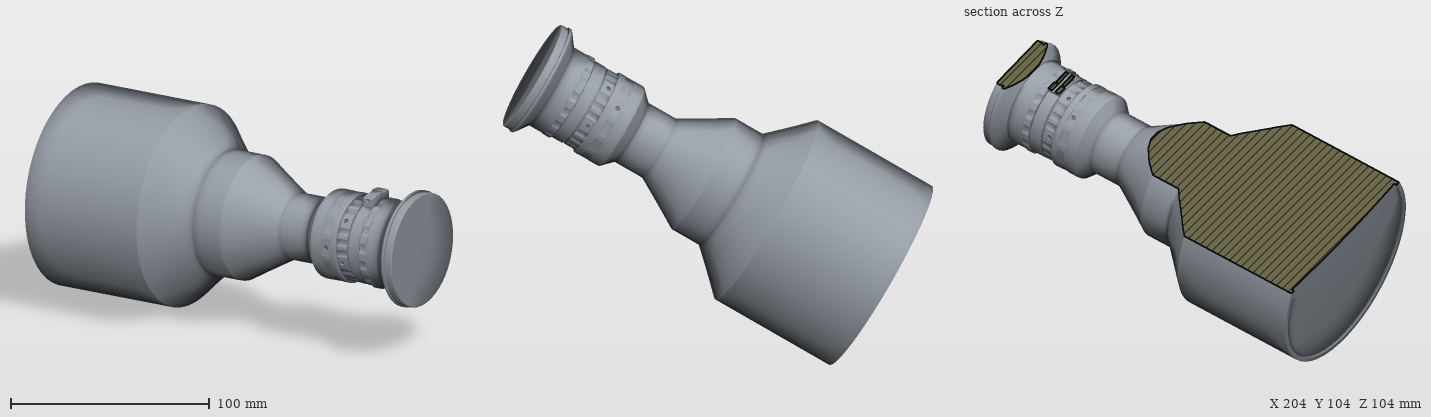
import cadquery as cq
import math


length = 204.0
barrel_radius = 52.0
barrel_end = 66.7
middle_radius = 32.2
middle_start = 87.5
middle_end = 103.6
neck_radius = 17.1
neck_start = 129.5
neck_end = 145.9
ring_radius = 23.0
shoulder_start = 151.5
shoulder_taper = 0.2
shoulder_taper_end = 153.0
knurl_radius = 21.8
clamp_radius = 22.0
tail_radius = 22.6
tail_end = 193.5
flange_cone_radius = 23.5
flange_radius = 30.0
flange_bevel = 1.0
flange_start = 198.5
flange_end = 199.7
flange_groove_radius = 29.0
flange_groove_end = 200.4
end_ring_radius = 29.4
edge_break = 0.5
cone_blend = 0.8

glass_radius = 49.8
glass_recess = 1.5
glass_sag = 1.2

parting_groove_start = 157.7
parting_groove_depth = 0.2
flats_start = 158.3
flats_end = 163.0
land_drop = 0.1
land_radius = ring_radius - land_drop
flat_count = 12
flat_half_angle = 11.7
flatted_ring_end = 166.5
set_screw_count = 3
set_screw_radius = 1.2
set_screw_depth = 1.2

knurl_end = 172.6
relief_radius = 21.0
pad_count = 6
pad_angle = 40.0
pad_hole_radius = 1.2
pad_hole_offset = 0.5
pad_hole_depth = 1.2
knurl_pitch = 15.0
knurl_half_angle = 5.0
knurl_cutter_radius = 3.3

clamp_start = 173.8
clamp_end = 180.2
clamp_groove_radius = 21.5
clamp_groove_end = 180.8
front_ear_length = 9.0
front_ear_radius = 26.5
front_ear_inset = 0.6
rear_ear_length = 5.5
rear_ear_radius = 27.3
rear_ear_chamfer = 0.6
slit_width = 0.5
slit_bottom = 20.0
clamp_screw_radius = 1.0
clamp_screw_height = 23.9

scalloped_ring_end = 184.5
scallop_count = 16
scallop_angle = 7.7
scallop_half_angle = 6.5
scallop_cutter_radius = 6.1


def circle_at(x):
    """Selects the circular edge lying in the plane at x."""
    return cq.selectors.BoxSelector(
        (x - edge_break, -length, -length), (x + edge_break, length, length), boundingbox=True
    )


def turned_body():
    profile = [
        (0, 0),
        (0, barrel_radius),
        (barrel_end, barrel_radius),
        (middle_start, middle_radius),
        (middle_end, middle_radius),
        (neck_start, neck_radius),
        (neck_end, neck_radius),
        (shoulder_start, ring_radius - shoulder_taper),
        (shoulder_taper_end, ring_radius),
        (parting_groove_start, ring_radius),
        (parting_groove_start, ring_radius - parting_groove_depth),
        (flats_start, ring_radius - parting_groove_depth),
        (flats_start, land_radius),
        (flats_end, land_radius),
        (flats_end, ring_radius),
        (flatted_ring_end - edge_break, ring_radius),
        (flatted_ring_end, ring_radius - edge_break),
        (flatted_ring_end, knurl_radius),
        (knurl_end, knurl_radius),
        (knurl_end, relief_radius),
        (clamp_start, relief_radius),
        (clamp_start, clamp_radius),
        (clamp_end, clamp_radius),
        (clamp_end, clamp_groove_radius),
        (clamp_groove_end, clamp_groove_radius),
        (clamp_groove_end, ring_radius),
        (scalloped_ring_end, ring_radius),
        (scalloped_ring_end, tail_radius),
        (tail_end, tail_radius),
        (tail_end, flange_cone_radius),
        (flange_start - flange_bevel, flange_radius - flange_bevel),
        (flange_start, flange_radius),
        (flange_end, flange_radius),
        (flange_end, flange_groove_radius),
        (flange_groove_end, flange_groove_radius),
        (flange_groove_end, end_ring_radius),
        (length - edge_break, end_ring_radius),
        (length, end_ring_radius - edge_break),
        (length, 0),
    ]
    body = cq.Workplane("XY").polyline(profile).close().revolve(360, (0, 0, 0), (1, 0, 0))
    for x in (barrel_end, middle_start, middle_end, neck_start, neck_end):
        body = body.edges(circle_at(x)).fillet(cone_blend)
    return body


def around_axis(tool, angle):
    """Turn a tool made on the -Y side to its angle around the axis."""
    return tool.rotate((0, 0, 0), (1, 0, 0), -angle)


def radial_hole(x, hole_radius, surface_radius, depth):
    """A round cutter that sinks to the given depth below the surface on the -Y side."""
    return (
        cq.Workplane("XZ", origin=(x, -(surface_radius - depth), 0))
        .circle(hole_radius)
        .extrude(2 * depth)
    )


def scallop_cutter(start, end, rim_radius, half_angle, cutter_radius):
    """A rod along X whose cut meets the rim at plus and minus half_angle."""
    half = math.radians(half_angle)
    half_chord = rim_radius * math.sin(half)
    rod_centre = rim_radius * math.cos(half) + math.sqrt(cutter_radius**2 - half_chord**2)
    return (
        cq.Workplane("YZ", origin=(start, 0, 0))
        .center(-rod_centre, 0)
        .circle(cutter_radius)
        .extrude(end - start)
    )


def cut_glass_recess(body):
    """The recess floor is the slightly domed face of the glass."""
    dome_radius = (glass_radius**2 + glass_sag**2) / (2 * glass_sag)
    recess = (
        cq.Workplane("XY")
        .moveTo(0, 0)
        .lineTo(0, glass_radius)
        .lineTo(glass_recess, glass_radius)
        .radiusArc((glass_recess - glass_sag, 0), -dome_radius)
        .close()
        .revolve(360, (0, 0, 0), (1, 0, 0))
    )
    return body.cut(recess)


def cut_flats(body):
    """Flats all round the ring, with set screw holes in the middle of evenly spaced ones."""
    flat_distance = land_radius * math.cos(math.radians(flat_half_angle))
    flat = cq.Workplane("XY").box(
        flats_end - flats_start, ring_radius, ring_radius, centered=(False, False, True)
    ).translate((flats_start, -flat_distance - ring_radius, 0))
    for i in range(flat_count):
        body = body.cut(around_axis(flat, i * 360 / flat_count))

    hole = radial_hole((flats_start + flats_end) / 2, set_screw_radius, flat_distance, set_screw_depth)
    for i in range(set_screw_count):
        body = body.cut(around_axis(hole, i * 360 / set_screw_count))
    return body


def cut_knurl(body):
    """Groups of scallops, with a plain drilled pad between one group and the next."""
    groove = scallop_cutter(
        flatted_ring_end, knurl_end, knurl_radius, knurl_half_angle, knurl_cutter_radius
    )
    hole_x = (flatted_ring_end + knurl_end) / 2 - pad_hole_offset
    hole = radial_hole(hole_x, pad_hole_radius, knurl_radius, pad_hole_depth)
    pad_pitch = 360 / pad_count
    grooves_per_group = round(pad_pitch / knurl_pitch) - 1
    for i in range(pad_count):
        pad = pad_angle + i * pad_pitch
        body = body.cut(around_axis(hole, pad))
        for j in range(1, grooves_per_group + 1):
            body = body.cut(around_axis(groove, pad + j * knurl_pitch))
    return body


def cut_scallops(body):
    """Even scallops around the ring behind the clamp."""
    scallop = scallop_cutter(
        clamp_groove_end, scalloped_ring_end, ring_radius, scallop_half_angle, scallop_cutter_radius
    )
    for i in range(scallop_count):
        body = body.cut(around_axis(scallop, scallop_angle + i * 360 / scallop_count))
    return body


def clamp_ear(start, end, y_start, y_length, outer_radius):
    """A block on top of the clamp ring whose top is rounded about the axis."""
    block = cq.Workplane("XY").box(end - start, y_length, outer_radius, centered=False)
    disc = cq.Workplane("YZ", origin=(start, 0, 0)).circle(outer_radius).extrude(end - start)
    return block.translate((start, y_start, 0)).intersect(disc)


def add_clamp_ears(body):
    """Two ears split by a slit and drilled across for a screw."""
    front_ear = clamp_ear(
        clamp_start + front_ear_inset,
        clamp_groove_end - front_ear_inset,
        -front_ear_length,
        front_ear_length,
        front_ear_radius,
    )
    rear_ear = clamp_ear(clamp_start, clamp_groove_end, 0, rear_ear_length, rear_ear_radius)
    rear_ear = rear_ear.faces("%CYLINDER").edges("not <Y").chamfer(rear_ear_chamfer)

    width = clamp_groove_end - clamp_start
    slit = cq.Workplane("XY").box(
        width, slit_width, rear_ear_radius - slit_bottom, centered=(False, True, False)
    ).translate((clamp_start, 0, slit_bottom))
    screw_hole = (
        cq.Workplane("XZ", origin=(clamp_start + width / 2, rear_ear_length, clamp_screw_height))
        .circle(clamp_screw_radius)
        .extrude(front_ear_length + rear_ear_length)
    )
    return body.union(front_ear).union(rear_ear).cut(slit).cut(screw_hole)


result = turned_body()
result = cut_glass_recess(result)
result = cut_flats(result)
result = cut_knurl(result)
result = cut_scallops(result)
result = add_clamp_ears(result)